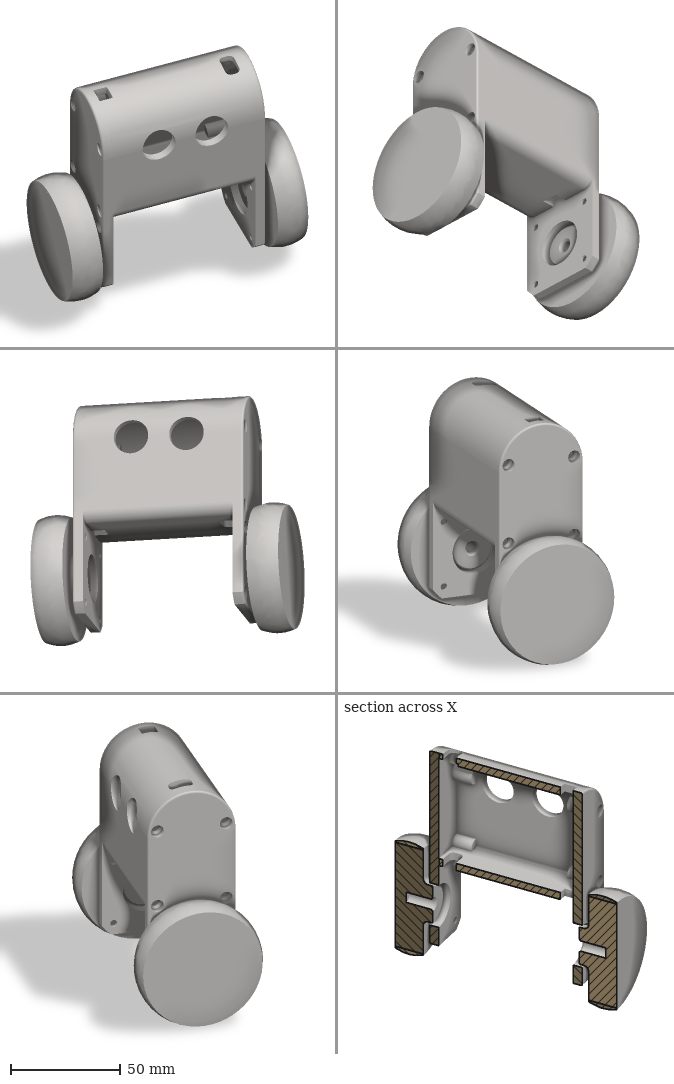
import cadquery as cq


overall_length = 116.0
overall_height = 111.5

wheel_width = 15.0
tyre_crown_radius = 60.0 / 2
tyre_edge_radius = 57.0 / 2
disc_radius = 55.0 / 2
neck_radius = 20.0 / 2
neck_length = 5.0
neck_fillet = 2.4
neck_chamfer = 0.6
shaft_bore_radius = 5.2 / 2
shaft_bore_depth = 13.9
shaft_bore_chamfer = 1.0

plate_width = 42.0
plate_thickness = 5.0
plate_corner_circle_radius = 26.7
plate_edge_fillet = 1.0
boss_hole_diameter = 22.3
motor_hole_spacing = 31.0

shell_length = 70.0
shell_wall = 4.0
ceiling_rise = 16.6
shell_bottom_clearance = 0.6
shell_corner_radius = 5.0

screw_hole_diameter = 3.2
head_recess_diameter = 6.0
head_recess_depth = 3.0
head_cone_diameter = 5.2
screw_spacing_x = 32.8
screw_spacing_z = 37.5
upper_screw_rise = 3.0
post_diameter = 8.0
post_length = 10.0

sensor_hole_diameter = 16.1
sensor_spacing = 26.0
sensor_offset_y = 0.5
port_length_x = 11.1
port_length_y = 7.0
port_corner_radius = 2.4
port_offset_x = 2.4
port_end_margin = 2.0
pocket_width = 14.2
pocket_roof_rise = 18.0
cheek_thickness = 2.0
cheek_length = 10.0
cheek_bottom_rise = 11.0
notch_width = 7.9
notch_length = 6.5

half_width = plate_width / 2
head_cone_depth = (head_cone_diameter - screw_hole_diameter) / 2
plate_bottom = -half_width
arc_center_z = overall_height - tyre_crown_radius - half_width
shell_bottom = half_width + shell_bottom_clearance
shell_end = shell_length / 2
plate_outer = shell_end + plate_thickness
wheel_inner = overall_length / 2 - wheel_width
neck_end = wheel_inner - neck_length
upper_screw_z = arc_center_z + upper_screw_rise
screw_places = [
    (side * screw_spacing_x / 2, z)
    for side in (-1, 1)
    for z in (upper_screw_z, upper_screw_z - screw_spacing_z)
]
motor_screw_places = [
    (x_side * motor_hole_spacing / 2, z_side * motor_hole_spacing / 2)
    for x_side in (-1, 1)
    for z_side in (-1, 1)
]


def arched_prism(half, bottom, y_start, y_end):
    """Prism along Y with a half-round top about the arc centre and a flat bottom."""
    outline = (
        cq.Workplane("XZ", origin=(0, y_start, 0))
        .moveTo(-half, bottom)
        .lineTo(half, bottom)
        .lineTo(half, arc_center_z)
        .threePointArc((0, arc_center_z + half), (-half, arc_center_z))
        .close()
    )
    return outline.extrude(y_start - y_end)


def cylinders_along_y(places, diameter, y_start, y_end):
    """Equal cylinders along Y at the given (x, z) places."""
    return (
        cq.Workplane("XZ", origin=(0, y_start, 0))
        .pushPoints(places)
        .circle(diameter / 2)
        .extrude(y_start - y_end)
    )


def box_between(x_range, y_range, z_range):
    """Box filling the given (low, high) range on each axis."""
    lengths = [high - low for low, high in (x_range, y_range, z_range)]
    corner = (x_range[0], y_range[0], z_range[0])
    return cq.Workplane("XY").box(*lengths, centered=False).translate(corner)


def shell_outer_form():
    form = arched_prism(half_width, shell_bottom, -shell_end, shell_end)
    return form.faces("<Z").edges("|Y").fillet(shell_corner_radius)


def shell_cavity():
    """Open-ended cavity with a flat ceiling just below the crown of its arch."""
    cavity = arched_prism(half_width - shell_wall, shell_bottom + shell_wall, -shell_end, shell_end)
    cavity = cavity.faces("<Z").edges("|Y").fillet(shell_corner_radius - shell_wall)
    x_range = (-half_width, half_width)
    y_range = (-shell_end, shell_end)
    return cavity.intersect(box_between(x_range, y_range, (0, arc_center_z + ceiling_rise)))


def screw_posts():
    """Solid posts behind the plate screws at both ends."""
    posts = cylinders_along_y(screw_places, post_diameter, -shell_end, -shell_end + post_length)
    return posts.union(posts.mirror("XZ"))


def port_block_and_pocket():
    """Block under the port, and the pocket that leaves it two cheeks and a thin flat roof."""
    pocket_x = (port_offset_x - pocket_width / 2, port_offset_x + pocket_width / 2)
    block_x = (pocket_x[0] - cheek_thickness, pocket_x[1] + cheek_thickness)
    y_range = (shell_end - cheek_length, shell_end)
    bottom = arc_center_z + cheek_bottom_rise
    block = box_between(block_x, y_range, (bottom, overall_height))
    pocket = box_between(pocket_x, y_range, (bottom, arc_center_z + pocket_roof_rise))
    return block, pocket


def sensor_openings():
    """Two round openings through the +X wall."""
    places = [(sensor_offset_y + side * sensor_spacing / 2, arc_center_z) for side in (-1, 1)]
    return cq.Workplane("YZ").pushPoints(places).circle(sensor_hole_diameter / 2).extrude(half_width)


def port_opening():
    """Rounded opening near the +Y end, through the top and the bottom."""
    return (
        cq.Workplane("XY")
        .center(port_offset_x, shell_end - port_end_margin - port_length_y / 2)
        .rect(port_length_x, port_length_y)
        .extrude(overall_height)
        .edges("|Z")
        .fillet(port_corner_radius)
    )


def end_notch():
    """Square-cornered notch at the -Y end, through the top and the bottom."""
    x_range = (-notch_width / 2, notch_width / 2)
    y_range = (-shell_end, -shell_end + notch_length)
    return box_between(x_range, y_range, (0, overall_height))


def make_shell():
    """Arched tube with posts and a port block inside its outer form."""
    outer = shell_outer_form()
    port_block, port_pocket = port_block_and_pocket()
    inner_solids = screw_posts().union(port_block).intersect(outer)
    tube = outer.cut(shell_cavity()).union(inner_solids).cut(port_pocket)
    return tube.cut(sensor_openings()).cut(port_opening()).cut(end_notch())


def front_screw_holes():
    """Motor and shell screw holes: a round recess, then a cone down to the shank hole."""
    profile = (
        cq.Workplane("XY")
        .lineTo(head_recess_diameter / 2, 0)
        .lineTo(head_recess_diameter / 2, head_recess_depth)
        .lineTo(head_cone_diameter / 2, head_recess_depth)
        .lineTo(screw_hole_diameter / 2, head_recess_depth + head_cone_depth)
        .lineTo(screw_hole_diameter / 2, plate_thickness)
        .lineTo(0, plate_thickness)
        .close()
    )
    hole = profile.revolve(360, (0, 0, 0), (0, 1, 0))
    return [hole.translate((x, -plate_outer, z)) for x, z in screw_places + motor_screw_places]


def make_front_plate():
    """Plate with an arched top, a rounded outer rim, a motor boss hole and screw holes."""
    plate = arched_prism(half_width, plate_bottom, -plate_outer, -shell_end)

    corner_disc = cylinders_along_y([(0, 0)], 2 * plate_corner_circle_radius, -plate_outer, -shell_end)
    upper_block = box_between((-half_width, half_width), (-plate_outer, -shell_end), (0, overall_height))
    plate = plate.intersect(corner_disc.union(upper_block))
    plate = plate.faces("<Y").edges().fillet(plate_edge_fillet)

    plate = plate.cut(cylinders_along_y([(0, 0)], boss_hole_diameter, -plate_outer, -shell_end))
    for hole in front_screw_holes():
        plate = plate.cut(hole)
    return plate


def make_rear_tyre():
    """Ring whose tread is an arc bulging to the crown."""
    return (
        cq.Workplane("XY")
        .moveTo(disc_radius, wheel_inner)
        .lineTo(tyre_edge_radius, wheel_inner)
        .threePointArc(
            (tyre_crown_radius, wheel_inner + wheel_width / 2),
            (tyre_edge_radius, wheel_inner + wheel_width),
        )
        .lineTo(disc_radius, wheel_inner + wheel_width)
        .close()
        .revolve(360, (0, 0, 0), (0, 1, 0))
    )


def make_rear_hub():
    """Disc with a filleted neck towards the plate and a blind shaft bore."""
    disc = cylinders_along_y([(0, 0)], 2 * disc_radius, wheel_inner, wheel_inner + wheel_width)
    neck = cylinders_along_y([(0, 0)], 2 * neck_radius, neck_end, wheel_inner)
    hub = disc.union(neck)
    smallest_circle = cq.selectors.RadiusNthSelector(0)
    hub = hub.faces("<Y[1]").edges(smallest_circle).fillet(neck_fillet)
    hub = hub.faces("<Y").edges().chamfer(neck_chamfer)
    bore = cylinders_along_y([(0, 0)], 2 * shaft_bore_radius, neck_end, neck_end + shaft_bore_depth)
    hub = hub.cut(bore)
    return hub.faces("<Y").edges(smallest_circle).chamfer(shaft_bore_chamfer)


shell = make_shell()
front_plate = make_front_plate()
rear_tyre = make_rear_tyre()
rear_hub = make_rear_hub()

bodies = [shell.solids().val()]
for body in (front_plate, rear_tyre, rear_hub):
    bodies.append(body.solids().val())
    bodies.append(body.mirror("XZ").solids().val())

result = cq.Compound.makeCompound(bodies)